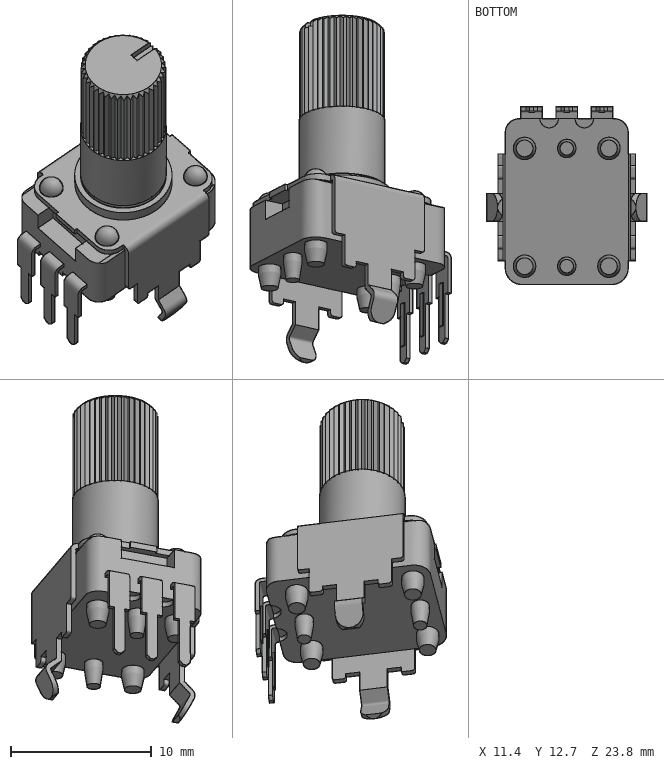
import cadquery as cq
import math


PLATE_T = 0.45
PLATE_HALF_X = 4.3
PLATE_HALF_Y = 5.28
PLATE_CORNER_R = 1.2
LIP_HALF_X = 1.0
LIP_REACH_Y = 5.5
COLLAR_D = 6.93
COLLAR_TOP = 0.83

LEG_T = 0.38
LEG_OUTER_X = 4.9
LEG_FOLD_R = 0.5
FLANK_HALF_Y = 3.8
FLANK_BOTTOM = -4.5
FEET_HALF_Y = 2.98
FEET_BOTTOM = -6.78
NOTCH_HALF_Y = 2.0
NOTCH_TOP = -6.33
FOOT_CORNER_R = 0.2
TONGUE_HALF_Y = 1.0
TONGUE_FOLD_Z = -7.9
TONGUE_TIP_Z = -10.61
TONGUE_FLARE = 48.0
TONGUE_RETURN = 26.0
KNEE_R = 0.6
KNEE_SPAN = 11.4
KNEE_X = KNEE_SPAN / 2

HOUSING_HALF_X = 4.38
HOUSING_FRONT = -6.3
HOUSING_BACK = 5.5
HOUSING_TOP = -PLATE_T
HOUSING_BOTTOM = -4.85
FRONT_CORNER_R = 1.0
BACK_CORNER_R = 1.2
EDGE_CHAMFER_X = 0.24
EDGE_CHAMFER_Z = 0.15
POCKET_FLOOR = -1.9
POCKET_DEPTH = 1.43
FRONT_POCKET_HALF_X = 2.02
BACK_POCKET_HALF_X = 1.52

POST_X = 3.0
POST_Y = 4.2
POST_D = 1.65
DOME_D = 1.71
DOME_HEIGHT = 0.75
PEG_D = 1.6
PEG_TIP_D = 1.2
PEG_TAPER_TOP = -5.45
PEG_BOTTOM = -6.4
CENTER_PEG_D = 1.3
CENTER_PEG_TIP_D = 0.95
CENTER_PEG_BOTTOM = -6.7

TERMINAL_PITCH = 2.5
TERMINAL_T = 0.3
TERMINAL_FRONT = -7.16
TERMINAL_TOP = -3.38
TERMINAL_BEND_R = 0.48
TERMINAL_WIDTH = 1.55
SHOULDER_Z = -6.43
PIN_WIDTH = 0.8
PIN_BOTTOM = -10.02
PIN_CHAMFER = 0.25
RIB_WIDTH = 0.4
RIB_HEIGHT = 0.1
RIB_TOP = -5.52
RIB_BOTTOM = -8.75
SCALLOP_D = 1.3
SCALLOP_TOP = -4.47

SHAFT_D = 6.12
SHAFT_TOP = 13.19
NECK_TOP = 1.12
NECK_BOTTOM = 0.88
NECK_DEPTH = 0.1
KNURL_D = 6.05
KNURL_BOTTOM = 6.19
KNURL_TEETH = 40
KNURL_DEPTH = 0.24
TOP_CHAMFER = 0.3
SLOT_WIDTH = 0.67
SLOT_START_Y = 1.02
SLOT_DEPTH = 0.5

POST_CENTERS = [(x, y) for x in (-POST_X, POST_X) for y in (-POST_Y, POST_Y)]


def box(x_range, y_range, z_range):
    """Axis-aligned box between the given limits."""
    (x0, x1), (y0, y1), (z0, z1) = x_range, y_range, z_range
    return cq.Workplane("XY").box(x1 - x0, y1 - y0, z1 - z0, centered=False).translate((x0, y0, z0))


def cylinders(centers, diameter, bottom, top):
    """Upright cylinders at the given XY centres."""
    base = cq.Workplane("XY").workplane(offset=bottom)
    return base.pushPoints(centers).circle(diameter / 2).extrude(top - bottom)



def housing_block():
    top_half_x = HOUSING_HALF_X - EDGE_CHAMFER_X
    profile = (
        cq.Workplane("XZ", origin=(0, HOUSING_BACK, 0))
        .moveTo(-HOUSING_HALF_X, HOUSING_BOTTOM)
        .lineTo(HOUSING_HALF_X, HOUSING_BOTTOM)
        .lineTo(HOUSING_HALF_X, HOUSING_TOP - EDGE_CHAMFER_Z)
        .lineTo(top_half_x, HOUSING_TOP)
        .lineTo(-top_half_x, HOUSING_TOP)
        .lineTo(-HOUSING_HALF_X, HOUSING_TOP - EDGE_CHAMFER_Z)
        .close()
        .extrude(HOUSING_BACK - HOUSING_FRONT)
    )
    outline = box(
        (-HOUSING_HALF_X, HOUSING_HALF_X), (HOUSING_FRONT, HOUSING_BACK), (HOUSING_BOTTOM, HOUSING_TOP)
    )
    outline = outline.edges("|Z and <Y").fillet(FRONT_CORNER_R)
    outline = outline.edges("|Z and >Y").fillet(BACK_CORNER_R)
    return profile.intersect(outline)


def upper_pockets():
    pocket_z = (POCKET_FLOOR, HOUSING_TOP)
    front = box(
        (-FRONT_POCKET_HALF_X, FRONT_POCKET_HALF_X), (HOUSING_FRONT, HOUSING_FRONT + POCKET_DEPTH), pocket_z
    )
    back = box(
        (-BACK_POCKET_HALF_X, BACK_POCKET_HALF_X), (HOUSING_BACK - POCKET_DEPTH, HOUSING_BACK), pocket_z
    )
    return front.union(back)


def terminal_scallops():
    centers = [(side * TERMINAL_PITCH / 2, HOUSING_FRONT) for side in (-1, 1)]
    return cylinders(centers, SCALLOP_D, HOUSING_BOTTOM, SCALLOP_TOP)


def domed_post():
    """Post through the cover with a spherical cap of DOME_HEIGHT over it, on the Z axis."""
    radius = DOME_D / 2
    cap = cq.Workplane("XY").sphere(radius).translate((0, 0, DOME_HEIGHT - radius))
    cap = cap.intersect(box((-radius, radius), (-radius, radius), (0, DOME_HEIGHT)))
    return cap.union(cylinders([(0, 0)], POST_D, HOUSING_TOP, 0))


def tapered_peg(diameter, tip_diameter, bottom):
    """Locating peg under the housing, on the Z axis."""
    return (
        cq.Workplane("XZ")
        .moveTo(0, HOUSING_BOTTOM)
        .lineTo(diameter / 2, HOUSING_BOTTOM)
        .lineTo(diameter / 2, PEG_TAPER_TOP)
        .lineTo(tip_diameter / 2, bottom)
        .lineTo(0, bottom)
        .close()
        .revolve(360, (0, 0, 0), (0, 1, 0))
    )


def terminal():
    """Angled terminal leaving the front of the housing, centred on X = 0."""
    back = TERMINAL_FRONT + TERMINAL_T
    strip = (
        cq.Workplane("YZ", origin=(-TERMINAL_WIDTH / 2, 0, 0))
        .moveTo(HOUSING_FRONT, TERMINAL_TOP)
        .lineTo(TERMINAL_FRONT + TERMINAL_BEND_R, TERMINAL_TOP)
        .radiusArc((TERMINAL_FRONT, TERMINAL_TOP - TERMINAL_BEND_R), -TERMINAL_BEND_R)
        .lineTo(TERMINAL_FRONT, PIN_BOTTOM)
        .lineTo(back, PIN_BOTTOM)
        .lineTo(back, TERMINAL_TOP - TERMINAL_BEND_R)
        .radiusArc(
            (TERMINAL_FRONT + TERMINAL_BEND_R, TERMINAL_TOP - TERMINAL_T), TERMINAL_BEND_R - TERMINAL_T
        )
        .lineTo(HOUSING_FRONT, TERMINAL_TOP - TERMINAL_T)
        .close()
        .extrude(TERMINAL_WIDTH)
    )
    y_range = (TERMINAL_FRONT, HOUSING_FRONT)
    wide = box((-TERMINAL_WIDTH / 2, TERMINAL_WIDTH / 2), y_range, (SHOULDER_Z, TERMINAL_TOP))
    pin = box((-PIN_WIDTH / 2, PIN_WIDTH / 2), y_range, (PIN_BOTTOM, SHOULDER_Z))
    pin = pin.edges("|Y and <Z").chamfer(PIN_CHAMFER)
    rib = box((-RIB_WIDTH / 2, RIB_WIDTH / 2), (back, back + RIB_HEIGHT), (RIB_BOTTOM, RIB_TOP))
    return strip.intersect(wide.union(pin)).union(rib)


def make_housing():
    body = housing_block().cut(upper_pockets()).cut(terminal_scallops())
    for x, y in POST_CENTERS:
        body = body.union(domed_post().translate((x, y, 0)))
        body = body.union(tapered_peg(PEG_D, PEG_TIP_D, PEG_BOTTOM).translate((x, y, 0)))
    for y in (-POST_Y, POST_Y):
        center_peg = tapered_peg(CENTER_PEG_D, CENTER_PEG_TIP_D, CENTER_PEG_BOTTOM)
        body = body.union(center_peg.translate((0, y, 0)))
    for index in (-1, 0, 1):
        body = body.union(terminal().translate((index * TERMINAL_PITCH, 0, 0)))
    return body



def cover_plate():
    z_range = (-PLATE_T, 0)
    plate = box((-PLATE_HALF_X, PLATE_HALF_X), (-PLATE_HALF_Y, PLATE_HALF_Y), z_range)
    plate = plate.edges("|Z").fillet(PLATE_CORNER_R)
    lips = box((-LIP_HALF_X, LIP_HALF_X), (-LIP_REACH_Y, LIP_REACH_Y), z_range)
    collar = cylinders([(0, 0)], COLLAR_D, 0, COLLAR_TOP)
    return plate.union(lips).union(collar)


def leg_strip():
    """Bent strip of the +X leg, as wide as its widest stretch."""
    flare = math.radians(TONGUE_FLARE)
    back = math.radians(TONGUE_RETURN)
    inner_x = LEG_OUTER_X - LEG_T
    fold_x = LEG_OUTER_X - LEG_FOLD_R
    fold_inner_r = LEG_FOLD_R - LEG_T
    knee_inner_r = KNEE_R - LEG_T
    inner_fold_z = TONGUE_FOLD_Z - LEG_T * math.tan(flare / 2)

    center_x = KNEE_X - KNEE_R
    rise = (KNEE_R + (center_x - LEG_OUTER_X) * math.cos(flare)) / math.sin(flare)
    center_z = TONGUE_FOLD_Z - rise

    def knee_point(radius, angle):
        return center_x + radius * math.cos(angle), center_z + radius * math.sin(angle)

    return_length = (center_z - KNEE_R * math.sin(back) - TONGUE_TIP_Z) / math.cos(back)

    def tip_point(radius):
        x, z = knee_point(radius, -back)
        return x - return_length * math.sin(back), z - return_length * math.cos(back)

    return (
        cq.Workplane("XZ", origin=(0, FLANK_HALF_Y, 0))
        .moveTo(0, 0)
        .lineTo(fold_x, 0)
        .radiusArc((LEG_OUTER_X, -LEG_FOLD_R), LEG_FOLD_R)
        .lineTo(LEG_OUTER_X, TONGUE_FOLD_Z)
        .lineTo(*knee_point(KNEE_R, flare))
        .threePointArc(knee_point(KNEE_R, 0), knee_point(KNEE_R, -back))
        .lineTo(*tip_point(KNEE_R))
        .lineTo(*tip_point(knee_inner_r))
        .lineTo(*knee_point(knee_inner_r, -back))
        .threePointArc(knee_point(knee_inner_r, 0), knee_point(knee_inner_r, flare))
        .lineTo(inner_x, inner_fold_z)
        .lineTo(inner_x, -LEG_FOLD_R)
        .radiusArc((fold_x, -LEG_T), -fold_inner_r)
        .lineTo(0, -LEG_T)
        .close()
        .extrude(2 * FLANK_HALF_Y)
    )


def leg_outline():
    """Side outline of the leg, extruded across its whole reach in X."""
    x_range = (0, KNEE_X)
    flank = box(x_range, (-FLANK_HALF_Y, FLANK_HALF_Y), (FLANK_BOTTOM, 0))
    outline = flank.edges("|X and <Z").fillet(FOOT_CORNER_R)
    for y_range in ((-FEET_HALF_Y, -NOTCH_HALF_Y), (NOTCH_HALF_Y, FEET_HALF_Y)):
        foot = box(x_range, y_range, (FEET_BOTTOM, NOTCH_TOP))
        outline = outline.union(foot.edges("|X and <Z").fillet(FOOT_CORNER_R))
    outline = outline.union(box(x_range, (-FEET_HALF_Y, FEET_HALF_Y), (NOTCH_TOP, FLANK_BOTTOM)))

    tip_height = TONGUE_HALF_Y * math.cos(math.radians(TONGUE_RETURN))
    tip_start = TONGUE_TIP_Z + tip_height
    tongue = box(x_range, (-TONGUE_HALF_Y, TONGUE_HALF_Y), (tip_start, NOTCH_TOP))
    tip = (
        cq.Workplane("YZ")
        .center(0, tip_start)
        .ellipse(TONGUE_HALF_Y, tip_height)
        .extrude(KNEE_X)
    )
    return outline.union(tongue).union(tip)


def make_cover():
    right_leg = leg_strip().intersect(leg_outline())
    cover = cover_plate().union(right_leg).union(right_leg.mirror("YZ"))
    cover = cover.cut(cylinders(POST_CENTERS, POST_D, -PLATE_T, 0))
    return cover.cut(cylinders([(0, 0)], SHAFT_D, -PLATE_T, COLLAR_TOP))



def shaft_blank():
    """Turned shaft from its seat on the housing up to the chamfered top."""
    return (
        cq.Workplane("XZ")
        .moveTo(0, HOUSING_TOP)
        .lineTo(SHAFT_D / 2, HOUSING_TOP)
        .lineTo(SHAFT_D / 2, NECK_BOTTOM)
        .lineTo(SHAFT_D / 2 - NECK_DEPTH, NECK_TOP)
        .lineTo(SHAFT_D / 2, NECK_TOP)
        .lineTo(SHAFT_D / 2, KNURL_BOTTOM)
        .lineTo(KNURL_D / 2, KNURL_BOTTOM)
        .lineTo(KNURL_D / 2, SHAFT_TOP - TOP_CHAMFER)
        .lineTo(KNURL_D / 2 - TOP_CHAMFER, SHAFT_TOP)
        .lineTo(0, SHAFT_TOP)
        .close()
        .revolve(360, (0, 0, 0), (0, 1, 0))
    )


def knurl_prism():
    """Star-shaped prism whose sharp crests lie on the knurl diameter."""
    crest = KNURL_D / 2
    root = crest - KNURL_DEPTH
    half_pitch = math.pi / KNURL_TEETH
    points = []
    for step in range(2 * KNURL_TEETH):
        radius = crest if step % 2 else root
        points.append((radius * math.cos(step * half_pitch), radius * math.sin(step * half_pitch)))
    return (
        cq.Workplane("XY").workplane(offset=KNURL_BOTTOM)
        .polyline(points).close().extrude(SHAFT_TOP - KNURL_BOTTOM)
    )


def pointer_slot():
    return box(
        (-SLOT_WIDTH / 2, SLOT_WIDTH / 2), (SLOT_START_Y, SHAFT_D / 2), (SHAFT_TOP - SLOT_DEPTH, SHAFT_TOP)
    )


def make_shaft():
    envelope = cylinders([(0, 0)], SHAFT_D, HOUSING_TOP, KNURL_BOTTOM).union(knurl_prism())
    return shaft_blank().intersect(envelope).cut(pointer_slot())


housing = make_housing()
cover = make_cover()
shaft = make_shaft()

result = cq.Compound.makeCompound([housing.val(), cover.val(), shaft.val()])